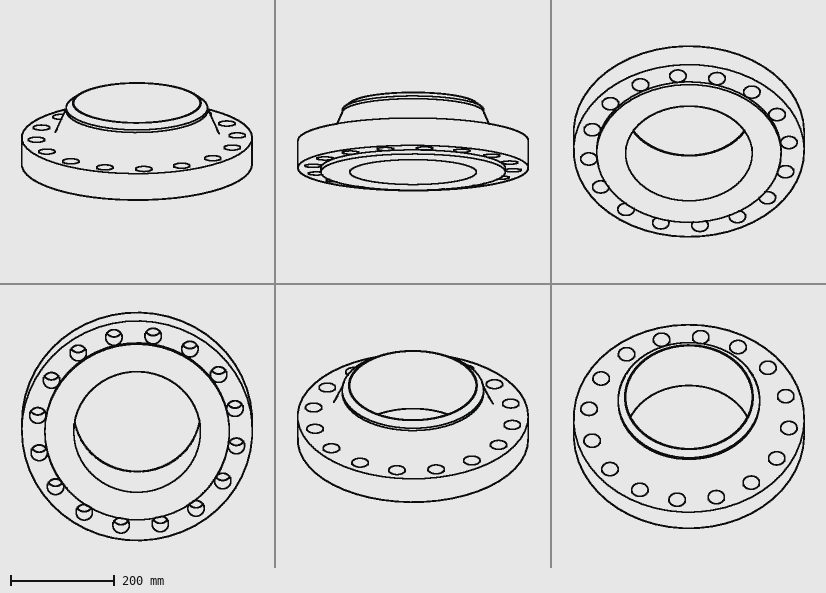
import cadquery as cq
import math

flange_diameter = 444.5
flange_thickness = 53.8
face_diameter = 355.5
face_height = 8.0

total_height = 132.0
bore_diameter = 244.0
pipe_diameter = 273.0
hub_base_diameter = 321.0
hub_fillet_radius = 3.5
pipe_straight_height = 5.5

land_width = 1.8
bevel_angle = 37.5

bolt_count = 16
bolt_circle_diameter = 387.5
bolt_hole_diameter = 31.5

flange_top = face_height + flange_thickness
land_radius = bore_diameter / 2 + land_width
bevel_width = pipe_diameter / 2 - land_radius
bevel_start = total_height - bevel_width * math.tan(math.radians(bevel_angle))
cone_top = bevel_start - pipe_straight_height


def flange_plate():
    """Plate with the raised face on its underside."""
    face = cq.Workplane("XY").circle(face_diameter / 2).extrude(face_height)
    plate = (
        cq.Workplane("XY", origin=(0, 0, face_height))
        .circle(flange_diameter / 2)
        .extrude(flange_thickness)
    )
    return face.union(plate)


def hub():
    """Solid cone, short straight pipe end and weld bevel, turned about Z."""
    return (
        cq.Workplane("XZ")
        .moveTo(0, face_height)
        .lineTo(hub_base_diameter / 2, face_height)
        .lineTo(hub_base_diameter / 2, flange_top)
        .lineTo(pipe_diameter / 2, cone_top)
        .lineTo(pipe_diameter / 2, bevel_start)
        .lineTo(land_radius, total_height)
        .lineTo(0, total_height)
        .close()
        .revolve(360, (0, 0, 0), (0, 1, 0))
    )


def fillet_hub_base(body):
    """Round the corner where the cone meets the top of the plate."""
    reach = hub_base_diameter / 2 + hub_fillet_radius / 2
    level_tolerance = 0.5
    corner = cq.selectors.BoxSelector(
        (-reach, -reach, flange_top - level_tolerance),
        (reach, reach, flange_top + level_tolerance),
        boundingbox=True,
    )
    return body.edges(corner).fillet(hub_fillet_radius)


def bolt_holes():
    """Ring of through holes, one of them on the X axis."""
    return (
        cq.Workplane("XY")
        .polarArray(bolt_circle_diameter / 2, 0, 360, bolt_count)
        .circle(bolt_hole_diameter / 2)
        .extrude(flange_top)
    )


def bore():
    return cq.Workplane("XY").circle(bore_diameter / 2).extrude(total_height)


body = fillet_hub_base(flange_plate().union(hub()))
result = body.cut(bore()).cut(bolt_holes())